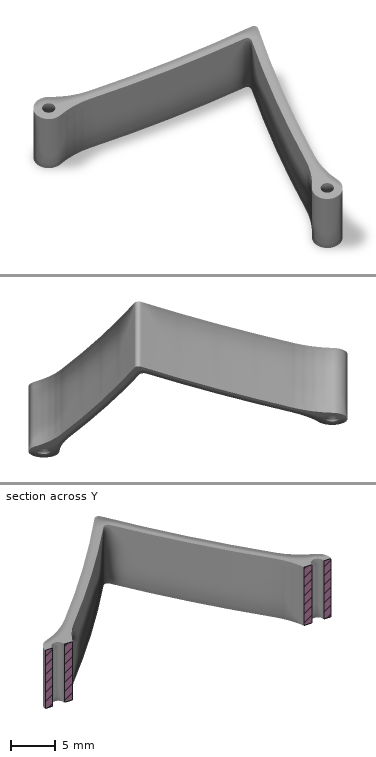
import math

import cadquery as cq

HEIGHT = 8.0
OVERALL_WIDTH = 37.5
OVERALL_DEPTH = 22.42
BOSS_RADIUS = 1.75
HOLE_DIAMETER = 1.5
ARM_THICKNESS = 1.2
ARM_RADIUS = 162.0
APEX_RADIUS = 0.5
FILLET_RADIUS = 10.0

BOSS_X = OVERALL_WIDTH / 2 - BOSS_RADIUS
BOSS_CENTRE = (-BOSS_X, 0.0)
APEX_TOP_Y = OVERALL_DEPTH - BOSS_RADIUS


def circle_crossings(centre_a, radius_a, centre_b, radius_b):
    """Both crossing points of two circles: left of the line from a to b first, then right."""
    dx = centre_b[0] - centre_a[0]
    dy = centre_b[1] - centre_a[1]
    distance = math.hypot(dx, dy)
    along = (radius_a**2 - radius_b**2 + distance**2) / (2 * distance)
    across = math.sqrt(radius_a**2 - along**2)
    ux = dx / distance
    uy = dy / distance
    foot_x = centre_a[0] + along * ux
    foot_y = centre_a[1] + along * uy
    left = (foot_x - across * uy, foot_y + across * ux)
    right = (foot_x + across * uy, foot_y - across * ux)
    return left, right


def point_towards(centre, target, radius):
    """Point at a signed radius from a centre, measured towards a target."""
    dx = target[0] - centre[0]
    dy = target[1] - centre[1]
    scale = radius / math.hypot(dx, dy)
    return (centre[0] + dx * scale, centre[1] + dy * scale)


def arc_middle(centre, start, end):
    """Middle of the minor arc from start to end about a centre."""
    chord_middle = ((start[0] + end[0]) / 2, (start[1] + end[1]) / 2)
    return point_towards(centre, chord_middle, math.dist(centre, start))


def mirrored(point):
    return (-point[0], point[1])


OUTER_FACE_RADIUS = ARM_RADIUS - ARM_THICKNESS / 2
INNER_FACE_RADIUS = ARM_RADIUS + ARM_THICKNESS / 2
APEX_OUTER_CENTRE = (0.0, APEX_TOP_Y - APEX_RADIUS)
BOW_CENTRE = circle_crossings(
    BOSS_CENTRE, ARM_RADIUS, APEX_OUTER_CENTRE, OUTER_FACE_RADIUS + APEX_RADIUS
)[0]

APEX_INNER_CENTRE = (
    0.0,
    BOW_CENTRE[1] - math.sqrt((INNER_FACE_RADIUS + APEX_RADIUS) ** 2 - BOW_CENTRE[0] ** 2),
)

OUTER_FILLET_CENTRE = circle_crossings(
    BOSS_CENTRE, BOSS_RADIUS + FILLET_RADIUS, BOW_CENTRE, OUTER_FACE_RADIUS - FILLET_RADIUS
)[1]
INNER_FILLET_CENTRE = circle_crossings(
    BOSS_CENTRE, BOSS_RADIUS + FILLET_RADIUS, BOW_CENTRE, INNER_FACE_RADIUS + FILLET_RADIUS
)[1]


def make_body():
    """Extruded V outline, traced anticlockwise from the top of the apex."""
    outer_arm_top = point_towards(BOW_CENTRE, APEX_OUTER_CENTRE, OUTER_FACE_RADIUS)
    outer_arm_bottom = point_towards(BOW_CENTRE, OUTER_FILLET_CENTRE, OUTER_FACE_RADIUS)
    inner_arm_top = point_towards(BOW_CENTRE, APEX_INNER_CENTRE, INNER_FACE_RADIUS)
    inner_arm_bottom = point_towards(BOW_CENTRE, INNER_FILLET_CENTRE, INNER_FACE_RADIUS)
    boss_outer_end = point_towards(BOSS_CENTRE, OUTER_FILLET_CENTRE, BOSS_RADIUS)
    boss_inner_end = point_towards(BOSS_CENTRE, INNER_FILLET_CENTRE, BOSS_RADIUS)

    boss_chord_middle = (
        (boss_outer_end[0] + boss_inner_end[0]) / 2,
        (boss_outer_end[1] + boss_inner_end[1]) / 2,
    )
    boss_far_side = point_towards(BOSS_CENTRE, boss_chord_middle, -BOSS_RADIUS)

    start = outer_arm_top
    left_arcs = [
        (arc_middle(BOW_CENTRE, outer_arm_top, outer_arm_bottom), outer_arm_bottom),
        (arc_middle(OUTER_FILLET_CENTRE, outer_arm_bottom, boss_outer_end), boss_outer_end),
        (boss_far_side, boss_inner_end),
        (arc_middle(INNER_FILLET_CENTRE, boss_inner_end, inner_arm_bottom), inner_arm_bottom),
        (arc_middle(BOW_CENTRE, inner_arm_bottom, inner_arm_top), inner_arm_top),
    ]

    outline = cq.Workplane("XY").moveTo(*start)
    for middle, end in left_arcs:
        outline = outline.threePointArc(middle, end)

    apex_inner_top = (0.0, APEX_INNER_CENTRE[1] + APEX_RADIUS)
    outline = outline.threePointArc(apex_inner_top, mirrored(inner_arm_top))

    arc_starts = [start] + [end for _, end in left_arcs[:-1]]
    for (middle, _), arc_start in zip(reversed(left_arcs), reversed(arc_starts)):
        outline = outline.threePointArc(mirrored(middle), mirrored(arc_start))

    outline = outline.threePointArc((0.0, APEX_TOP_Y), start)
    return outline.close().extrude(HEIGHT)


def make_pin_holes():
    """Through holes on the boss axes."""
    centres = [BOSS_CENTRE, mirrored(BOSS_CENTRE)]
    return cq.Workplane("XY").pushPoints(centres).circle(HOLE_DIAMETER / 2).extrude(HEIGHT)


result = make_body().cut(make_pin_holes())